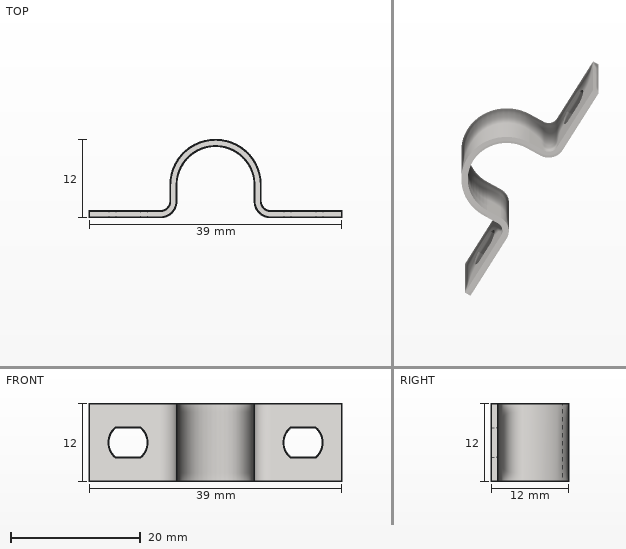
import cadquery as cq

strip_width = 12.0
thickness = 1.0
overall_length = 39.0
overall_depth = 12.0
arch_outer_radius = 7.0
bend_inner_radius = 1.5
hole_spacing = 27.0
hole_diameter = 6.0
hole_height = 4.6

arch_inner_radius = arch_outer_radius - thickness
bend_outer_radius = bend_inner_radius + thickness
arch_center_y = overall_depth - arch_outer_radius
bend_center_x = arch_outer_radius + bend_inner_radius
bend_center_y = bend_outer_radius
flange_end_x = overall_length / 2


def clamp_strip():
    """Bent strip: two flanges, two rounded bends, straight legs and a half-round arch."""
    profile = (
        cq.Workplane("XY")
        .moveTo(-flange_end_x, 0)
        .lineTo(-bend_center_x, 0)
        .radiusArc((-arch_inner_radius, bend_center_y), -bend_outer_radius)
        .lineTo(-arch_inner_radius, arch_center_y)
        .threePointArc((0, arch_center_y + arch_inner_radius), (arch_inner_radius, arch_center_y))
        .lineTo(arch_inner_radius, bend_center_y)
        .radiusArc((bend_center_x, 0), -bend_outer_radius)
        .lineTo(flange_end_x, 0)
        .lineTo(flange_end_x, thickness)
        .lineTo(bend_center_x, thickness)
        .radiusArc((arch_outer_radius, bend_center_y), bend_inner_radius)
        .lineTo(arch_outer_radius, arch_center_y)
        .threePointArc((0, overall_depth), (-arch_outer_radius, arch_center_y))
        .lineTo(-arch_outer_radius, bend_center_y)
        .radiusArc((-bend_center_x, thickness), bend_inner_radius)
        .lineTo(-flange_end_x, thickness)
        .close()
    )
    return profile.extrude(strip_width)


def flange_hole(center_x):
    """Round hole through a flange, cut off by a flat above and below."""
    center = (center_x, thickness / 2, strip_width / 2)
    round_hole = (
        cq.Workplane("XZ", origin=center)
        .circle(hole_diameter / 2)
        .extrude(thickness, both=True)
    )
    height_limit = cq.Workplane("XY", origin=center).box(hole_diameter, 2 * thickness, hole_height)
    return round_hole.intersect(height_limit)


result = clamp_strip()
for side in (-1, 1):
    result = result.cut(flange_hole(side * hole_spacing / 2))